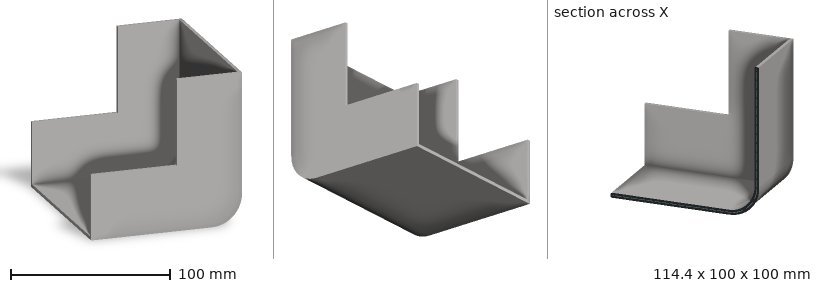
import cadquery as cq

inner_width = 110.0
wall = 2.2
leg_length = 100.0
leg_depth = 43.2
outer_bend_radius = 20.0

outer_width = inner_width + 2 * wall
inner_bend_radius = outer_bend_radius - wall
half_length = leg_length / 2

back_y = half_length
bottom_z = -half_length
front_y = back_y - leg_length
top_z = bottom_z + leg_length


def elbow_body():
    """Solid L-shaped channel bend with a rounded outer corner, centred on X."""
    step_y = back_y - leg_depth
    step_z = bottom_z + leg_depth
    profile = (
        cq.Workplane("YZ", origin=(-outer_width / 2, 0, 0))
        .moveTo(back_y, top_z)
        .lineTo(step_y, top_z)
        .lineTo(step_y, step_z)
        .lineTo(front_y, step_z)
        .lineTo(front_y, bottom_z)
        .lineTo(back_y - outer_bend_radius, bottom_z)
        .radiusArc((back_y, bottom_z + outer_bend_radius), -outer_bend_radius)
        .close()
    )
    return profile.extrude(outer_width)


def channel_cavity():
    """Space between the side walls, in front of the back wall and above the floor."""
    cavity_back_y = back_y - wall
    cavity_floor_z = bottom_z + wall
    profile = (
        cq.Workplane("YZ", origin=(-inner_width / 2, 0, 0))
        .moveTo(cavity_back_y, top_z)
        .lineTo(front_y, top_z)
        .lineTo(front_y, cavity_floor_z)
        .lineTo(cavity_back_y - inner_bend_radius, cavity_floor_z)
        .radiusArc((cavity_back_y, cavity_floor_z + inner_bend_radius), -inner_bend_radius)
        .close()
    )
    return profile.extrude(inner_width)


result = elbow_body().cut(channel_cavity())